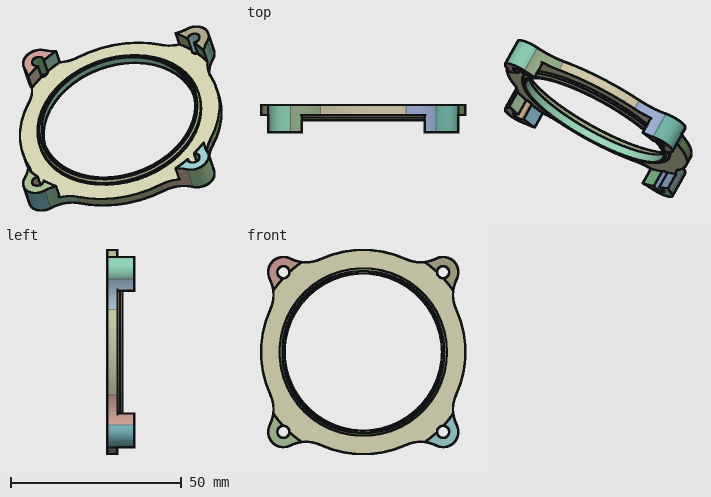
import cadquery as cq
import math

outer_radius = 29.95
bore_diameter = 46.0
rim_diameter = 49.0
plate_depth = 3.0
rim_depth = 4.55
rim_chamfer = 0.8
back_chamfer = 2.0
lug_depth = 8.0

lug_offset = 23.35
lug_radius = 4.5
blend_radius = 10.2
hole_diameter = 3.5
lug_face_radius = 31.85
corner_angles = (45, 135, 225, 315)


def polar(radius, angle):
    return (radius * math.cos(angle), radius * math.sin(angle))


def disc(diameter, depth):
    """Cylinder from the back face toward -Y."""
    return cq.Workplane("XZ").circle(diameter / 2).extrude(depth)


def lug_outline(depth):
    """Lug on the +X side with its blends, closed by a chord of the body."""
    centre = lug_offset * math.sqrt(2)
    to_blend = outer_radius + blend_radius
    lug_to_blend = lug_radius + blend_radius
    body_angle = math.acos(
        (centre**2 + to_blend**2 - lug_to_blend**2) / (2 * centre * to_blend)
    )
    blend_x, blend_z = polar(to_blend, body_angle)
    lug_angle = math.atan2(blend_z, blend_x - centre)
    body_x, body_z = polar(outer_radius, body_angle)
    reach_x, reach_z = polar(lug_radius, lug_angle)
    tip_x = centre + reach_x
    middle_angle = (body_angle + lug_angle) / 2 + math.pi
    bend_x, bend_z = polar(blend_radius, middle_angle)
    middle_x = blend_x + bend_x
    middle_z = blend_z + bend_z
    return (
        cq.Workplane("XZ")
        .moveTo(body_x, -body_z)
        .threePointArc((middle_x, -middle_z), (tip_x, -reach_z))
        .threePointArc((centre + lug_radius, 0), (tip_x, reach_z))
        .threePointArc((middle_x, middle_z), (body_x, body_z))
        .close()
        .extrude(depth)
    )


def lug():
    """Thin blended corner with a raised block outside the concave inner side."""
    block = lug_outline(lug_depth).cut(disc(2 * lug_face_radius, lug_depth))
    return lug_outline(plate_depth).union(block)


def lug_hole():
    return disc(hole_diameter, lug_depth).translate((lug_offset * math.sqrt(2), 0, 0))


def at_corner(shape, angle):
    return shape.rotate((0, 0, 0), (0, 1, 0), angle)


rim = disc(rim_diameter, rim_depth).faces("<Y").chamfer(rim_chamfer)
result = disc(2 * outer_radius, plate_depth).union(rim)

for angle in corner_angles:
    result = result.union(at_corner(lug(), angle))

result = result.cut(disc(bore_diameter, rim_depth))
flare_radius = bore_diameter / 2 + back_chamfer
flare = cq.Solid.makeCone(
    flare_radius, bore_diameter / 2, back_chamfer, dir=cq.Vector(0, -1, 0)
)
result = result.cut(cq.Workplane(flare))
for angle in corner_angles:
    result = result.cut(at_corner(lug_hole(), angle))